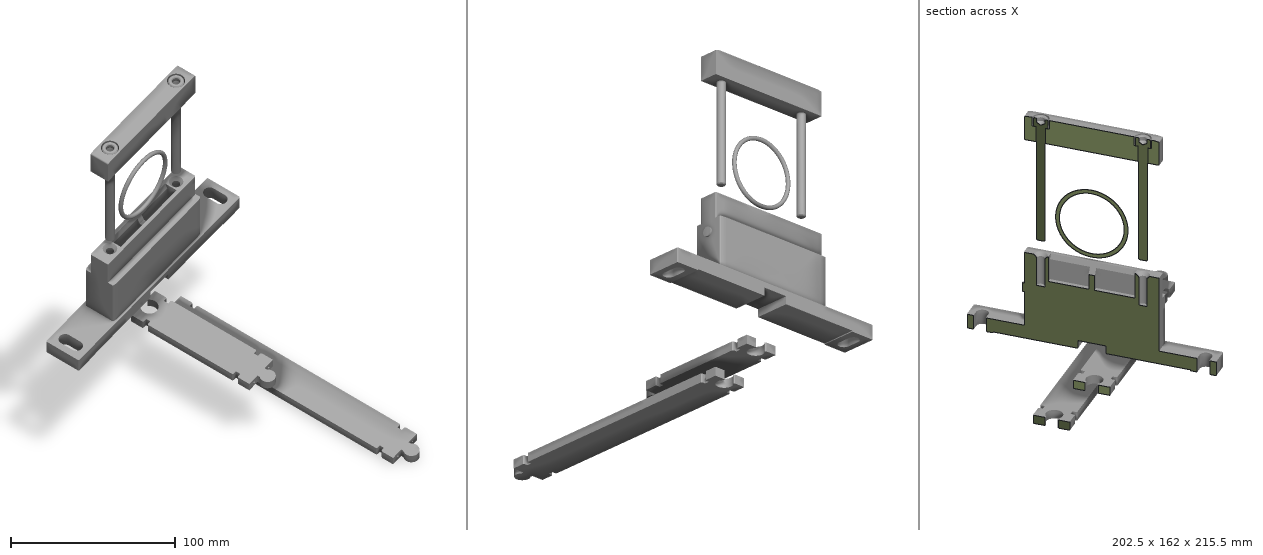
import cadquery as cq
import math


BODY_LENGTH = 88.0
NECK_WIDTH = 13.4
CROWN_RUN = 4.5
CROWN_DROP = 0.6
CROWN_EDGE_RADIUS = 0.9
SCREW_OFFSET = 33.2
EDGE_RADIUS = 0.6
NOTCH_WIDTH = 3.2
NOTCH_DEPTH = 3.0

COVER_TOP = 215.5
COVER_HEIGHT = 17.0
COVER_BOTTOM = COVER_TOP - COVER_HEIGHT

SHANK_DIAMETER = 6.0
SHANK_BOTTOM = 129.5
SHANK_CHAMFER = 0.6
HEAD_DIAMETER = 10.0
HEAD_HEIGHT = 6.0
HEAD_RECESS_DIAMETER = 11.0
HEAD_CHAMFER = 0.6
DRIVE_DIAMETER = 5.0
DRIVE_RIM_DIAMETER = 6.0
DRIVE_DEPTH = 3.0
DRIVE_CONE_DEPTH = 1.5

RING_OUTER_DIAMETER = 47.5
RING_SECTION = 2.8
RING_CENTRE_Z = 148.5

PLATE_LENGTH = 162.0
PLATE_WIDTH = 25.0
PLATE_BOTTOM = 58.2
PLATE_THICKNESS = 10.0
PLATE_TOP = PLATE_BOTTOM + PLATE_THICKNESS
FOOT_LENGTH = 17.0
FOOT_HEIGHT = 0.6
SLOT_LENGTH = 16.5
SLOT_WIDTH = 8.0
SLOT_OFFSET = 72.6
SHOULDER_WIDTH = 22.2
SHOULDER_TOP = 102.1
NECK_TOP = 119.4
SLIT_LENGTH = 3.9
SLIT_SIZE = 0.5
SLIT_BOTTOM = 103.5
SLIT_PLACES = (32.5, -12.3)
BOSS_DIAMETER = 6.5
BOSS_LENGTH = 1.3
BOSS_Z = 94.5
THREAD_DIAMETER = 5.0
COUNTERSINK_DIAMETER = 8.8
COUNTERSINK_DEPTH = 2.2
THREAD_DEPTH = 21.5
TROUGH_LENGTH = 56.0
TROUGH_WIDTH = 8.6
TROUGH_DEPTH = 3.2
TROUGH_TAPER = 27.0
RIB_WIDTH = 4.0
RIB_DROP = 3.7

STRIP_WIDTH = 24.0
STRIP_THICKNESS = 6.0
NOTCH_CENTRE = 10.8
MOUTH_CHAMFER = 0.6
KNOB_DIAMETER = 10.0
KNOB_REACH = 10.0
KNOB_NECK_WIDTH = 7.3
SOCKET_DIAMETER = 11.0
SOCKET_CENTRE = 5.0
SOCKET_MOUTH_WIDTH = 7.3
BUMP_RADIUS = 0.6
BUMP_OFFSET = 7.3
LONG_STRIP_LENGTH = 180.0
LONG_STRIP_Y = 26.0
LONG_STRIP_Z = 0.0
SHORT_STRIP_LENGTH = 90.0
SHORT_STRIP_Y = 0.0
SHORT_STRIP_Z = 30.0


def box(size_x, size_y, bottom, top, x=0.0, y=0.0):
    """Upright block centred on (x, y)."""
    return cq.Workplane("XY", origin=(x, y, bottom)).rect(size_x, size_y).extrude(top - bottom)


def cylinder(diameter, bottom, top, y=0.0):
    return cq.Workplane("XY", origin=(0, y, bottom)).circle(diameter / 2).extrude(top - bottom)


def cone(bottom_diameter, top_diameter, bottom, top, y=0.0):
    return cq.Workplane(
        cq.Solid.makeCone(bottom_diameter / 2, top_diameter / 2, top - bottom, pnt=cq.Vector(0, y, bottom))
    )


CROWN_RADIUS = (CROWN_RUN**2 + CROWN_DROP**2) / (2 * CROWN_DROP)
CROWN_HALF_ANGLE = math.asin(CROWN_RUN / CROWN_RADIUS) / 2
CROWN_MID_RUN = CROWN_RADIUS * math.sin(CROWN_HALF_ANGLE)
CROWN_MID_DROP = CROWN_RADIUS * (1 - math.cos(CROWN_HALF_ANGLE))


def crowned_side(sketch, start, height):
    """Draw a side at the given height, from one body end (start = -1 or 1) to the other,
    falling away along an arc at both ends."""
    end = start * BODY_LENGTH / 2
    flat = end - start * CROWN_RUN
    middle = flat + start * CROWN_MID_RUN
    drop = math.copysign(CROWN_DROP, height)
    mid_drop = math.copysign(CROWN_MID_DROP, height)
    return (
        sketch.lineTo(end, height - drop)
        .threePointArc((middle, height - mid_drop), (flat, height))
        .lineTo(-flat, height)
        .threePointArc((-middle, height - mid_drop), (-end, height - drop))
    )


def make_cover():
    half = BODY_LENGTH / 2
    profile = cq.Workplane("YZ", origin=(-NECK_WIDTH / 2, 0, COVER_BOTTOM)).moveTo(-half, 0)
    cover = crowned_side(profile, -1, COVER_HEIGHT).lineTo(half, 0).close().extrude(NECK_WIDTH)
    cover = cover.faces("<Y or >Y").edges(">Z").fillet(CROWN_EDGE_RADIUS)
    for y in (-SCREW_OFFSET, SCREW_OFFSET):
        cover = cover.cut(cylinder(SHANK_DIAMETER, COVER_BOTTOM, COVER_TOP, y))
        cover = cover.cut(cylinder(HEAD_RECESS_DIAMETER, COVER_TOP - HEAD_HEIGHT, COVER_TOP, y))
    return cover


def make_screw(y):
    head_bottom = COVER_TOP - HEAD_HEIGHT
    shank = cylinder(SHANK_DIAMETER, SHANK_BOTTOM, head_bottom, y).faces("<Z").chamfer(SHANK_CHAMFER)
    head = cylinder(HEAD_DIAMETER, head_bottom, COVER_TOP, y).faces(">Z").chamfer(HEAD_CHAMFER)
    rim_depth = (DRIVE_RIM_DIAMETER - DRIVE_DIAMETER) / 2
    drive_bottom = COVER_TOP - DRIVE_DEPTH
    return (
        shank.union(head)
        .cut(cylinder(DRIVE_DIAMETER, drive_bottom, COVER_TOP, y))
        .cut(cone(DRIVE_DIAMETER, DRIVE_RIM_DIAMETER, COVER_TOP - rim_depth, COVER_TOP, y))
        .cut(cone(0, DRIVE_DIAMETER, drive_bottom - DRIVE_CONE_DEPTH, drive_bottom, y))
    )


def make_ring():
    centre_radius = (RING_OUTER_DIAMETER - RING_SECTION) / 2
    return cq.Workplane(
        cq.Solid.makeTorus(centre_radius, RING_SECTION / 2, cq.Vector(0, 0, RING_CENTRE_Z), cq.Vector(1, 0, 0))
    )


def make_plate():
    plate = box(PLATE_WIDTH, PLATE_LENGTH, PLATE_BOTTOM, PLATE_TOP).edges("|Z").fillet(EDGE_RADIUS)
    relief = box(PLATE_WIDTH, PLATE_LENGTH - 2 * FOOT_LENGTH, PLATE_BOTTOM, PLATE_BOTTOM + FOOT_HEIGHT)
    channel_width = STRIP_WIDTH - 2 * NOTCH_DEPTH
    channel = box(PLATE_WIDTH, channel_width, PLATE_BOTTOM, PLATE_BOTTOM + STRIP_THICKNESS)
    slots = (
        cq.Workplane("XY", origin=(0, 0, PLATE_BOTTOM))
        .pushPoints([(0, -SLOT_OFFSET), (0, SLOT_OFFSET)])
        .slot2D(SLOT_LENGTH, SLOT_WIDTH)
        .extrude(PLATE_THICKNESS)
    )
    return plate.cut(relief).cut(channel).cut(slots)


def make_shoulder():
    """Wide lower part of the housing body, its long sides falling away at the ends."""
    plane = cq.Plane(origin=(0, 0, PLATE_TOP), xDir=(0, 1, 0), normal=(0, 0, 1))
    half = SHOULDER_WIDTH / 2
    outline = cq.Workplane(plane).moveTo(-BODY_LENGTH / 2, CROWN_DROP - half)
    outline = crowned_side(outline, -1, half)
    outline = crowned_side(outline, 1, -half)
    shoulder = outline.close().extrude(SHOULDER_TOP - PLATE_TOP)
    return shoulder.faces("<Y or >Y").edges("|Z").fillet(CROWN_EDGE_RADIUS)


def trough_narrowing(depth):
    """How far each sloping side of the trough leans inward over a depth."""
    return depth * math.tan(math.radians(TROUGH_TAPER))


def tapered_trough(length, depth):
    """Trough with sloping long sides and upright ends."""
    top = TROUGH_WIDTH / 2
    bottom = top - trough_narrowing(depth)
    return (
        cq.Workplane("XZ", origin=(0, length / 2, NECK_TOP))
        .polyline([(-top, 0), (top, 0), (bottom, -depth), (-bottom, -depth)])
        .close()
        .extrude(length)
    )


def make_housing():
    neck = box(NECK_WIDTH, BODY_LENGTH, SHOULDER_TOP, NECK_TOP).edges("|Z").fillet(EDGE_RADIUS)
    boss = (
        cq.Workplane("XZ", origin=(0, BODY_LENGTH / 2 + BOSS_LENGTH, BOSS_Z))
        .circle(BOSS_DIAMETER / 2)
        .extrude(2 * BOSS_LENGTH)
    )
    housing = make_plate().union(make_shoulder()).union(neck).union(boss)

    pocket_width = TROUGH_WIDTH - 2 * trough_narrowing(TROUGH_DEPTH)
    pocket_length = (TROUGH_LENGTH - RIB_WIDTH) / 2
    pocket_centre = (pocket_length + RIB_WIDTH) / 2
    housing = housing.cut(tapered_trough(TROUGH_LENGTH, TROUGH_DEPTH))
    housing = housing.cut(tapered_trough(RIB_WIDTH, TROUGH_DEPTH + RIB_DROP))
    for side in (-1, 1):
        housing = housing.cut(
            box(pocket_width, pocket_length, SHOULDER_TOP, NECK_TOP, y=side * pocket_centre)
        )
        y = side * SCREW_OFFSET
        sink_bottom = NECK_TOP - COUNTERSINK_DEPTH
        housing = housing.cut(cylinder(THREAD_DIAMETER, NECK_TOP - THREAD_DEPTH, NECK_TOP, y))
        housing = housing.cut(cone(THREAD_DIAMETER, COUNTERSINK_DIAMETER, sink_bottom, NECK_TOP, y))

    for y in SLIT_PLACES:
        slit_x = (SLIT_SIZE - NECK_WIDTH) / 2
        housing = housing.cut(box(SLIT_SIZE, SLIT_LENGTH, SLIT_BOTTOM, SLIT_BOTTOM + SLIT_SIZE, slit_x, y))
    return housing


def recess(width, depth, mouth, inward):
    """Upright cutter as thick as a strip: a straight recess with a chamfered mouth.

    It starts at the middle of the mouth, given as a point, and runs in the inward direction."""
    half = width / 2
    mouth_half = half + MOUTH_CHAMFER
    plane = cq.Plane(origin=mouth, xDir=inward, normal=(0, 0, 1))
    corners = [
        (0, -mouth_half),
        (MOUTH_CHAMFER, -half),
        (depth, -half),
        (depth, half),
        (MOUTH_CHAMFER, half),
        (0, mouth_half),
    ]
    return cq.Workplane(plane).polyline(corners).close().extrude(STRIP_THICKNESS)


def make_strip(length, y, bottom):
    """Strip along +X with a socket at its start, a matching knob at its end and a pair of
    notches near each end."""
    top = bottom + STRIP_THICKNESS
    knob_centre = length + KNOB_REACH - KNOB_DIAMETER / 2

    def disc(diameter, x):
        return (
            cq.Workplane("XY", origin=(x, y, bottom)).circle(diameter / 2).extrude(STRIP_THICKNESS)
        )

    strip = box(length, STRIP_WIDTH, bottom, top, length / 2, y)
    strip = strip.union(box(knob_centre - length, KNOB_NECK_WIDTH, bottom, top, (length + knob_centre) / 2, y))
    strip = strip.union(disc(KNOB_DIAMETER, knob_centre))
    strip = strip.cut(disc(SOCKET_DIAMETER, SOCKET_CENTRE))
    strip = strip.cut(recess(SOCKET_MOUTH_WIDTH, SOCKET_CENTRE, (0, y, bottom), (1, 0, 0)))

    for side in (-1, 1):
        for x in (NOTCH_CENTRE, length - NOTCH_CENTRE):
            edge = y + side * STRIP_WIDTH / 2
            strip = strip.cut(recess(NOTCH_WIDTH, NOTCH_DEPTH, (x, edge, bottom), (0, -side, 0)))
        bump_place = (length, y + side * BUMP_OFFSET, bottom + STRIP_THICKNESS / 2)
        strip = strip.union(cq.Workplane("XY", origin=bump_place).sphere(BUMP_RADIUS))
    return strip


cover = make_cover()
screws = [make_screw(y) for y in (-SCREW_OFFSET, SCREW_OFFSET)]
ring = make_ring()
housing = make_housing()
long_strip = make_strip(LONG_STRIP_LENGTH, LONG_STRIP_Y, LONG_STRIP_Z)
short_strip = make_strip(SHORT_STRIP_LENGTH, SHORT_STRIP_Y, SHORT_STRIP_Z)

result = cq.Compound.makeCompound(
    [
        cover.val(),
        *[screw.val() for screw in screws],
        ring.val(),
        housing.val(),
        long_strip.val(),
        short_strip.val(),
    ]
)